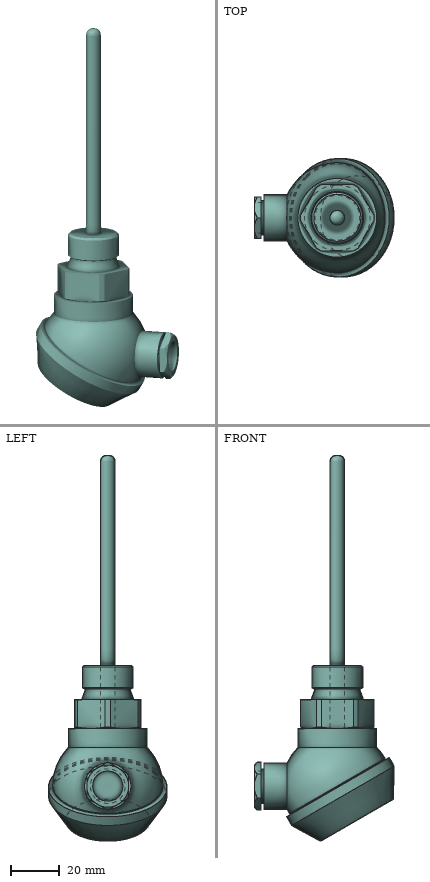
import cadquery as cq
import math

BALL_Z = 22.5
BALL_R = 22.5
LID_TILT = 30
COLLAR_R = 16.1
COLLAR_TOP = 46.1
BOSS_R = 9.5
BOSS_END = 30.0
JOIN_OVERLAP = 1.5

GASKET_R = 22.1
GASKET_THICKNESS = 0.5

RIM_DIAMETER = 48.5
RIM_R = RIM_DIAMETER / 2
RIM_HEIGHT = 4.1
LID_HEIGHT = 15.6
LID_END_R = 17.2

HEX_TOP = 58.0
HEX_FLATS = 27.2
HEX_CORNERS = 30.2
HEX_CHAMFER = 0.6
HEX_FOOT_R = 13.4
NECK_BASE_R = 10.7
NECK_R = 9.2
THREAD_R = 10.4
THREAD_BOTTOM = 62.2
THREAD_TOP = 72.0
THREAD_CHAMFER = 0.8

PROBE_R = 3.0
PROBE_TOP = 157.9
PROBE_TIP = 2.5

GLAND_NECK_R = 7.1
GLAND_HEX_START = 31.1
GLAND_END = 34.0
GLAND_FLATS = 17.0
GLAND_CHAMFER = 1.3
GLAND_BORE_R = 6.2


def hexagon_corners(flats):
    """Corner-to-corner width of a hexagon from its width across flats."""
    return flats / math.cos(math.radians(30))


def rod(radius, bottom, top):
    return cq.Workplane("XY").workplane(offset=bottom).circle(radius).extrude(top - bottom)


def revolve_profile(points):
    """Turn a closed (radius, height) outline about the Z axis."""
    return cq.Workplane("XZ").polyline(points).close().revolve(360, (0, 0), (0, 1))


def tilt_about_ball(body):
    """Swing a body from the vertical to the lid axis, then move it to the ball centre."""
    return body.rotate((0, 0, 0), (0, 1, 0), -LID_TILT).translate((0, 0, BALL_Z))


def make_head():
    ball = cq.Workplane("XY").sphere(BALL_R)
    block = cq.Workplane("XY").box(4 * BALL_R, 4 * BALL_R, 2 * BALL_R, centered=(True, True, False))
    half_ball = tilt_about_ball(ball).intersect(tilt_about_ball(block))
    collar_bottom = BALL_Z + math.sqrt(BALL_R**2 - COLLAR_R**2)
    collar = rod(COLLAR_R, collar_bottom - JOIN_OVERLAP, COLLAR_TOP)
    boss_root = math.sqrt(BALL_R**2 - BOSS_R**2) - JOIN_OVERLAP
    boss = (
        cq.Workplane("YZ", origin=(-BOSS_END, 0, BALL_Z))
        .circle(BOSS_R)
        .extrude(BOSS_END - boss_root)
    )
    return half_ball.union(collar).union(boss)


def make_gasket():
    return tilt_about_ball(rod(GASKET_R, -GASKET_THICKNESS, 0))


def make_lid():
    lid_top = -GASKET_THICKNESS
    lid_end = lid_top - LID_HEIGHT
    profile = [
        (0, lid_top),
        (RIM_R, lid_top),
        (RIM_R, lid_top - RIM_HEIGHT),
        (LID_END_R, lid_end),
        (0, lid_end),
    ]
    return tilt_about_ball(revolve_profile(profile))


def make_fitting():
    hexagon = (
        cq.Workplane("XY", origin=(0, 0, COLLAR_TOP))
        .polygon(6, hexagon_corners(HEX_FLATS))
        .extrude(HEX_TOP - COLLAR_TOP)
    )
    corner_r = HEX_CORNERS / 2
    trim_profile = [
        (0, COLLAR_TOP),
        (HEX_FOOT_R, COLLAR_TOP),
        (corner_r, COLLAR_TOP + HEX_CHAMFER),
        (corner_r, HEX_TOP),
        (0, HEX_TOP),
    ]
    corner_trim = revolve_profile(trim_profile)
    undercut = THREAD_R - NECK_R
    shank_profile = [
        (0, HEX_TOP),
        (NECK_BASE_R, HEX_TOP),
        (NECK_R, THREAD_BOTTOM),
        (THREAD_R, THREAD_BOTTOM + undercut / 2),
        (THREAD_R, THREAD_TOP - THREAD_CHAMFER),
        (THREAD_R - THREAD_CHAMFER, THREAD_TOP),
        (0, THREAD_TOP),
    ]
    shank = revolve_profile(shank_profile)
    fitting = hexagon.intersect(corner_trim).union(shank)
    return fitting.cut(rod(PROBE_R, COLLAR_TOP, THREAD_TOP))


def make_probe():
    return rod(PROBE_R, COLLAR_TOP, PROBE_TOP).faces(">Z").edges().fillet(PROBE_TIP)


def make_gland():
    face = cq.Workplane("YZ", origin=(-GLAND_END, 0, BALL_Z))
    length = GLAND_END - BOSS_END
    hex_length = GLAND_END - GLAND_HEX_START
    corners = hexagon_corners(GLAND_FLATS)
    hexagon = face.polygon(6, corners).extrude(hex_length)
    hexagon = hexagon.rotate((0, 0, BALL_Z), (1, 0, BALL_Z), 90)
    corner_trim = face.circle(corners / 2).extrude(hex_length).faces("<X").chamfer(GLAND_CHAMFER)
    neck = face.circle(GLAND_NECK_R).extrude(length)
    bore = face.circle(GLAND_BORE_R).extrude(length)
    return hexagon.intersect(corner_trim).union(neck).cut(bore)


head = make_head()
gasket = make_gasket()
lid = make_lid()
fitting = make_fitting()
probe = make_probe()
gland = make_gland()

result = cq.Compound.makeCompound(
    [head.val(), gasket.val(), lid.val(), fitting.val(), probe.val(), gland.val()]
)